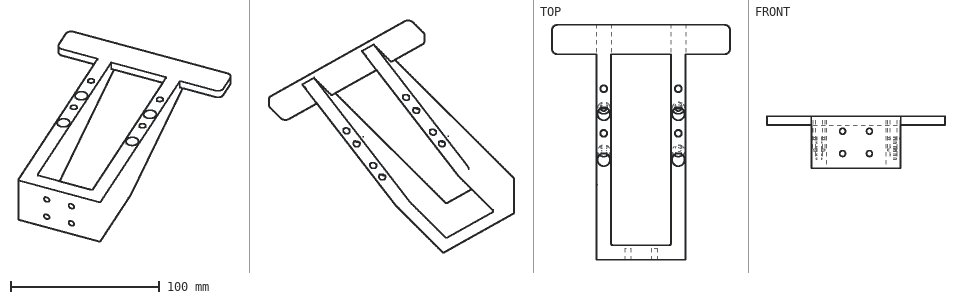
import cadquery as cq
import math

length = 158.0
height = 35.0
plate_width = 120.0
plate_depth = 19.9
plate_thickness = 6.0
plate_corner_radius = 4.0
frame_width = 60.0
wall = 10.0
edge_radius = 1.0
plate_edge_radius = 0.5

flat_length = 50.2
slope_angle = math.atan2(height - plate_thickness, length - flat_length)

rail_x = (frame_width - wall) / 2
vertical_hole_pitch = 30.0
vertical_hole_diameter = 4.5
vertical_hole_y = 85.0
screw_hole_diameter = 4.5
screw_head_diameter = 8.4
screw_seat_thickness = 6.0
screw_y = 67.3
screw_pitch = 30.8

front_hole_diameter = 4.0
front_hole_depth = 7.9
front_hole_spacing_x = 18.0
front_hole_spacing_z = 15.0
front_hole_top = 10.1


def make_frame():
    """Wedge-shaped block with rounded front edges, hollowed into two rails open at the back."""
    frame = (
        cq.Workplane("YZ")
        .polyline([(0, 0), (length, 0), (length, -plate_thickness), (flat_length, -height), (0, -height)])
        .close()
        .extrude(frame_width / 2, both=True)
    )
    bottom_edges = frame.faces("<Z").edges("|Y or <Y")
    frame = bottom_edges.add(frame.edges("|Z and <Y")).fillet(edge_radius)
    window_length = length - wall
    window = (
        cq.Workplane("XY")
        .center(0, wall + window_length / 2)
        .rect(frame_width - 2 * wall, window_length)
        .extrude(-height)
        .edges("|Z and <Y")
        .fillet(edge_radius)
    )
    return frame.cut(window)


def make_plate():
    """Cross plate at the back, with rounded corners and a softened lower rim."""
    return (
        cq.Workplane("XY")
        .center(0, length - plate_depth / 2)
        .rect(plate_width, plate_depth)
        .extrude(-plate_thickness)
        .edges("|Z")
        .fillet(plate_corner_radius)
        .faces("<Z")
        .edges()
        .fillet(plate_edge_radius)
    )


def cut_vertical_holes(body):
    """Plain holes straight down through each rail."""
    rows = [vertical_hole_y, vertical_hole_y + vertical_hole_pitch]
    points = [(side * rail_x, y) for side in (-1, 1) for y in rows]
    return body.cut(cq.Workplane("XY").pushPoints(points).circle(vertical_hole_diameter / 2).extrude(-height))


def cut_screw_holes(body):
    """Counterbored holes square to the sloped underside, entered from the top."""
    axis = cq.Vector(0, math.sin(slope_angle), -math.cos(slope_angle))
    for i in range(2):
        y = screw_y + i * screw_pitch
        local_height = height - (y - flat_length) * math.tan(slope_angle)
        seat_depth = local_height * math.cos(slope_angle) - screw_seat_thickness
        for side in (-1, 1):
            entry = cq.Vector(side * rail_x, y, 0)
            start = entry - axis * screw_head_diameter
            head = cq.Solid.makeCylinder(
                screw_head_diameter / 2, seat_depth + screw_head_diameter, start, axis
            )
            shank = cq.Solid.makeCylinder(screw_hole_diameter / 2, height, entry, axis)
            body = body.cut(cq.Workplane(head)).cut(cq.Workplane(shank))
    return body


def cut_front_holes(body):
    """Four blind holes in a rectangle on the front face."""
    holes = (
        cq.Workplane("XZ")
        .center(0, -front_hole_top - front_hole_spacing_z / 2)
        .rect(front_hole_spacing_x, front_hole_spacing_z, forConstruction=True)
        .vertices()
        .circle(front_hole_diameter / 2)
        .extrude(-front_hole_depth)
    )
    return body.cut(holes)


result = make_frame().union(make_plate())
result = cut_vertical_holes(result)
result = cut_screw_holes(result)
result = cut_front_holes(result)